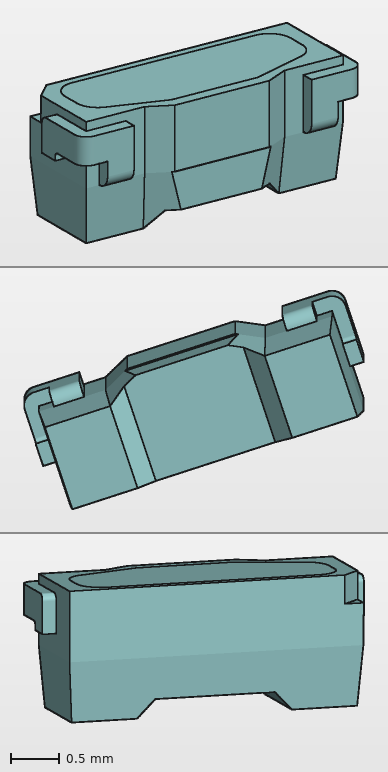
import cadquery as cq

HEIGHT = 1.4
LENGTH = 3.5
WIDTH = 1.2

HOUSING_HALF_LENGTH = 1.6
FRONT_X = 1.045
SPLIT_Z = 0.65
NOSE_X = 1.185
NOSE_ROOT_Y = 0.87
NOSE_TIP_Y = 0.588
NOSE_SLOPE = (NOSE_X - FRONT_X) / (NOSE_ROOT_Y - NOSE_TIP_Y)

BASE_NOSE_X = 1.172
BASE_BACK_X = 0.07
BASE_FRONT_X = 0.98
BASE_HALF_LENGTH = 1.555
BASE_NOSE_ROOT_Y = 0.845

CHANNEL_DEPTH = 0.2
CHANNEL_BOTTOM_Y = 0.845
CHANNEL_ROOF_Y = 0.65

MARK_LEG = 0.203
MARK_DEPTH = 0.305

LEAD_TOP_Z = HEIGHT - 0.105
STRIP_BOTTOM_Z = HEIGHT - 0.43
TAB_BOTTOM_Z = HEIGHT - 0.525
TAB_START_X = 0.448
TAB_END_X = 0.695
TAB_ROUND = 0.075
TAB_INNER_ROUND = 0.042
SELECTION_MARGIN = 0.035
LEAD_BEND_RADIUS = 0.147
FOOT_ROUND = 0.147
FOOT_INNER_Y = 1.105
FOOT_OUTER_Y = 1.435

CUP_BACK_X = 0.098
CUP_HALF_LENGTH = 1.405
CUP_END_X = 0.77
CUP_FRONT_HALF_LENGTH = 0.535
CUP_CORNER_RADIUS = 0.262
CUP_DEPTH = 0.525


def nosed_outline(back_x, front_x, half_length, nose_x, nose_root_y):
    """Corners of a rectangle with a tapered nose centred on its front side."""
    nose_tip_y = nose_root_y - (nose_x - front_x) / NOSE_SLOPE
    return [
        (back_x, -half_length),
        (front_x, -half_length),
        (front_x, -nose_root_y),
        (nose_x, -nose_tip_y),
        (nose_x, nose_tip_y),
        (front_x, nose_root_y),
        (front_x, half_length),
        (back_x, half_length),
    ]


def make_upper_block():
    outline = nosed_outline(0, FRONT_X, HOUSING_HALF_LENGTH, NOSE_X, NOSE_ROOT_Y)
    block = cq.Workplane("XY", origin=(0, 0, SPLIT_Z)).polyline(outline).close().extrude(HEIGHT - SPLIT_Z)
    mark = (
        cq.Workplane("XY", origin=(0, -HOUSING_HALF_LENGTH, HEIGHT - MARK_DEPTH))
        .polyline([(0, 0), (MARK_LEG, 0), (0, MARK_LEG)])
        .close()
        .extrude(MARK_DEPTH)
    )
    return block.cut(mark)


def make_base():
    bottom = nosed_outline(BASE_BACK_X, BASE_FRONT_X, BASE_HALF_LENGTH, BASE_NOSE_X, BASE_NOSE_ROOT_Y)
    top = nosed_outline(0, FRONT_X, HOUSING_HALF_LENGTH, BASE_NOSE_X, NOSE_ROOT_Y)
    base = (
        cq.Workplane("XY")
        .polyline(bottom)
        .close()
        .workplane(offset=SPLIT_Z)
        .polyline(top)
        .close()
        .loft(ruled=True)
    )
    channel = (
        cq.Workplane("YZ")
        .polyline([
            (-CHANNEL_BOTTOM_Y, 0),
            (CHANNEL_BOTTOM_Y, 0),
            (CHANNEL_ROOF_Y, CHANNEL_DEPTH),
            (-CHANNEL_ROOF_Y, CHANNEL_DEPTH),
        ])
        .close()
        .extrude(WIDTH)
    )
    return base.cut(channel)


def make_lead():
    """Lead at the -Y end: a hooked strip bent round the corner into a foot on the front face."""
    end_y = -LENGTH / 2
    strip = (
        cq.Workplane("XZ", origin=(0, -FOOT_INNER_Y, 0))
        .polyline([
            (TAB_START_X, TAB_BOTTOM_Z),
            (TAB_END_X, TAB_BOTTOM_Z),
            (TAB_END_X, STRIP_BOTTOM_Z),
            (WIDTH, STRIP_BOTTOM_Z),
            (WIDTH, LEAD_TOP_Z),
            (TAB_START_X, LEAD_TOP_Z),
        ])
        .close()
        .extrude(-FOOT_INNER_Y - end_y)
    )
    strip = strip.edges("|Y").edges("<X and >Z").fillet(TAB_ROUND)
    inner_edge = cq.selectors.BoxSelector(
        (TAB_END_X - SELECTION_MARGIN, end_y - SELECTION_MARGIN, STRIP_BOTTOM_Z - SELECTION_MARGIN),
        (TAB_END_X + SELECTION_MARGIN, -FOOT_INNER_Y + SELECTION_MARGIN, STRIP_BOTTOM_Z + SELECTION_MARGIN),
    )
    strip = strip.edges("|Y").edges(inner_edge).fillet(TAB_INNER_ROUND)
    strip = strip.edges("|Z").edges(">X and <Y").fillet(LEAD_BEND_RADIUS)
    foot = (
        cq.Workplane("XY")
        .box(WIDTH - FRONT_X, FOOT_OUTER_Y - FOOT_INNER_Y, LEAD_TOP_Z - SPLIT_Z, centered=False)
        .translate((FRONT_X, -FOOT_OUTER_Y, SPLIT_Z))
        .edges("|Y")
        .edges(">X and <Z")
        .fillet(FOOT_ROUND)
    )
    return strip.union(foot)


def make_filling():
    """Filling of the cup, flush with the top face."""
    filling = (
        cq.Workplane("XY", origin=(0, 0, HEIGHT - CUP_DEPTH))
        .polyline([
            (CUP_BACK_X, -CUP_HALF_LENGTH),
            (CUP_END_X, -CUP_HALF_LENGTH),
            (FRONT_X, -CUP_FRONT_HALF_LENGTH),
            (FRONT_X, CUP_FRONT_HALF_LENGTH),
            (CUP_END_X, CUP_HALF_LENGTH),
            (CUP_BACK_X, CUP_HALF_LENGTH),
        ])
        .close()
        .extrude(CUP_DEPTH)
    )
    for end in ("<Y", ">Y"):
        filling = filling.faces(end).edges("|Z").fillet(CUP_CORNER_RADIUS)
    return filling


def make_housing(filling):
    housing = make_upper_block().union(make_base())
    lead = make_lead()
    for end_lead in (lead, lead.mirror("XZ")):
        housing = housing.union(end_lead)
    return housing.cut(filling)


filling = make_filling()
housing = make_housing(filling)

result = cq.Compound.makeCompound([housing.solids().val(), filling.solids().val()])